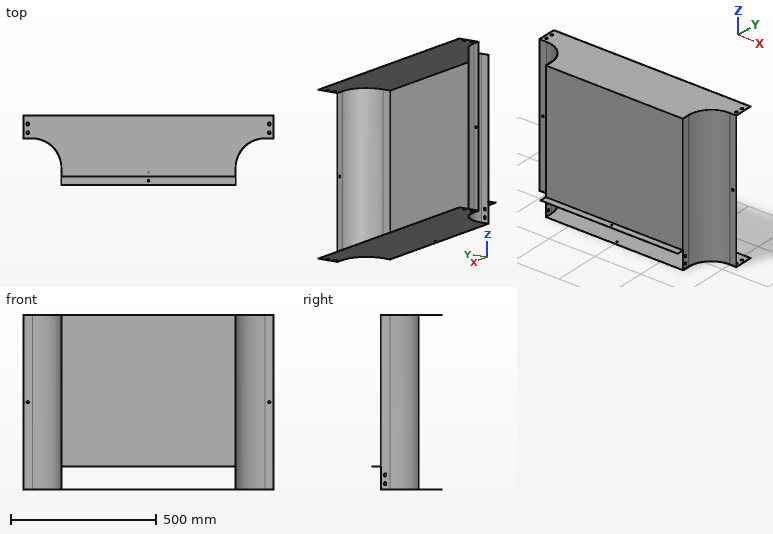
import cadquery as cq
import math

sheet = 1.0
height = 600.0
branch_width = 600.0
bend_radius = 100.0
straight = 30.0
end_depth = 80.0
opening = 80.0
lip_reach = 30.0

half_branch = branch_width / 2
curve_end_x = half_branch + bend_radius
half_length = curve_end_x + straight
shoulder_y = straight + bend_radius
back_y = shoulder_y + end_depth

slot_width = 7.0
slot_length = 10.0
flange_hole_diameter = 7.0
center_hole_diameter = 5.0
edge_distance = 15.0
end_slot_distances = (30.0, 60.0)
leg_slot_heights = (20.0, 50.0)

hole_x = half_length - edge_distance


def bend_midpoint(radius):
    """Middle point of a right-hand arc about the centre of the concave bend."""
    offset = radius * math.sqrt(0.5)
    return (curve_end_x - offset, straight + offset)


def tee_plate(bottom_z):
    """Horizontal T-shaped plate with two concave inner corners."""
    mid_x, mid_y = bend_midpoint(bend_radius)
    return (
        cq.Workplane("XY", origin=(0, 0, bottom_z))
        .moveTo(-half_branch, 0)
        .lineTo(half_branch, 0)
        .lineTo(half_branch, straight)
        .threePointArc((mid_x, mid_y), (curve_end_x, shoulder_y))
        .lineTo(half_length, shoulder_y)
        .lineTo(half_length, back_y)
        .lineTo(-half_length, back_y)
        .lineTo(-half_length, shoulder_y)
        .lineTo(-curve_end_x, shoulder_y)
        .threePointArc((-mid_x, mid_y), (-half_branch, straight))
        .close()
        .extrude(sheet)
    )


def right_side_wall():
    """Wall at +X: straight leg, concave bend and end flange."""
    inner_x = half_branch - sheet
    inner_y = shoulder_y + sheet
    return (
        cq.Workplane("XY")
        .moveTo(half_branch, 0)
        .lineTo(half_branch, straight)
        .threePointArc(bend_midpoint(bend_radius), (curve_end_x, shoulder_y))
        .lineTo(half_length, shoulder_y)
        .lineTo(half_length, inner_y)
        .lineTo(curve_end_x, inner_y)
        .threePointArc(bend_midpoint(bend_radius + sheet), (inner_x, straight))
        .lineTo(inner_x, 0)
        .close()
        .extrude(height)
    )


def front_panel():
    """L-shaped sheet on the front edges: panel above the opening, lip folded forward below it."""
    return (
        cq.Workplane("YZ", origin=(-half_branch, 0, 0))
        .moveTo(0, height)
        .lineTo(0, opening - sheet)
        .lineTo(-lip_reach, opening - sheet)
        .lineTo(-lip_reach, opening)
        .lineTo(-sheet, opening)
        .lineTo(-sheet, height)
        .close()
        .extrude(branch_width)
    )


def end_slots():
    """Slots through both plates at the two ends."""
    centers = [(side * hole_x, back_y - distance) for side in (-1, 1) for distance in end_slot_distances]
    return (
        cq.Workplane("XY")
        .pushPoints(centers)
        .slot2D(slot_length, slot_width, 90)
        .extrude(height)
    )


def leg_slots():
    """Slots through both straight legs beside the front opening."""
    return (
        cq.Workplane("YZ", origin=(-half_branch, 0, 0))
        .pushPoints([(edge_distance, z) for z in leg_slot_heights])
        .slot2D(slot_length, slot_width, 90)
        .extrude(branch_width)
    )


def flange_holes():
    """One round hole at mid-height in each end flange."""
    return (
        cq.Workplane("XZ", origin=(0, shoulder_y + sheet, 0))
        .pushPoints([(side * hole_x, height / 2) for side in (-1, 1)])
        .circle(flange_hole_diameter / 2)
        .extrude(sheet)
    )


def center_hole(y, bottom_z):
    """Small hole on the centre line through one horizontal sheet."""
    return (
        cq.Workplane("XY", origin=(0, y, bottom_z))
        .circle(center_hole_diameter / 2)
        .extrude(sheet)
    )


right_wall = right_side_wall()
left_wall = right_wall.mirror("YZ")

body = (
    tee_plate(0)
    .union(tee_plate(height - sheet))
    .union(right_wall)
    .union(left_wall)
    .union(front_panel())
    .clean()
)

result = (
    body
    .cut(end_slots())
    .cut(leg_slots())
    .cut(flange_holes())
    .cut(center_hole(edge_distance - lip_reach, opening - sheet))
    .cut(center_hole(edge_distance, 0))
)